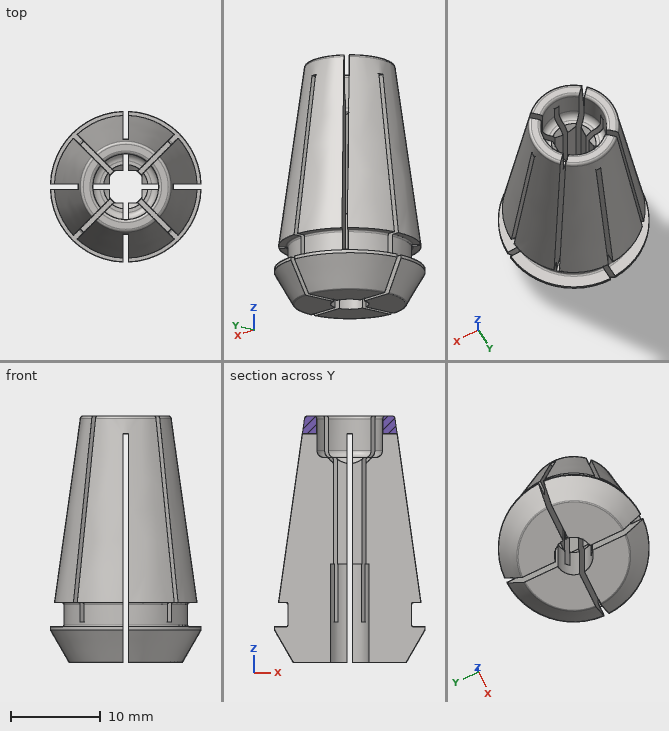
import cadquery as cq
import math

height = 27.5

flange_radius = 16.8 / 2
flange_edge_z = 3.65
flange_top_z = 4.02
nose_angle = 30
nose_radius = flange_radius - flange_edge_z * math.tan(math.radians(nose_angle))
nose_rounding = 0.16

groove_radius = 6.9
groove_top_z = 6.68
groove_rounding = 0.2

taper_base_radius = 7.95
taper_angle = 8
taper_length = height - groove_top_z
taper_top_radius = taper_base_radius - taper_length * math.tan(math.radians(taper_angle))
rim_rounding = 0.33

counterbore_radius = 3.65
counterbore_floor_z = 22.85
counterbore_rounding = 0.77
funnel_top_radius = 2.48
funnel_angle = 45
square_side = 3.6
square_bottom_z = 11.0
shank_radius = 2.15

slot_width = 0.6
lower_slot_top_z = 25.5
upper_slot_floor_z = 4.5
lower_slot_angles = (0, 90)
upper_slot_angles = (45, 135)
slot_cut_length = 3 * flange_radius

selection_margin = 0.015


def circles_at(z, largest_radius):
    """Selector for the circular edges at one level, up to a given radius."""
    reach = largest_radius + selection_margin
    return cq.selectors.BoxSelector(
        (-reach, -reach, z - selection_margin), (reach, reach, z + selection_margin), boundingbox=True
    )


def outer_body():
    profile = [
        (0, 0),
        (nose_radius, 0),
        (flange_radius, flange_edge_z),
        (flange_radius, flange_top_z),
        (groove_radius, flange_top_z),
        (groove_radius, groove_top_z),
        (taper_base_radius, groove_top_z),
        (taper_top_radius, height),
        (0, height),
    ]
    body = cq.Workplane("XZ").polyline(profile).close().revolve(360, (0, 0), (0, 1))
    body = body.edges(circles_at(0, nose_radius)).fillet(nose_rounding)
    for z in (flange_top_z, groove_top_z):
        body = body.edges(circles_at(z, groove_radius)).fillet(groove_rounding)
    return body


def counterbore():
    depth = height - counterbore_floor_z
    base = cq.Workplane("XY").workplane(offset=counterbore_floor_z)
    cutter = base.circle(counterbore_radius).extrude(depth)
    return cutter.faces("<Z").edges().fillet(counterbore_rounding)


def funnel():
    """Cone that narrows from the counterbore floor to a point on the axis."""
    tip_z = counterbore_floor_z - funnel_top_radius / math.tan(math.radians(funnel_angle))
    profile = [(0, tip_z), (funnel_top_radius, counterbore_floor_z), (0, counterbore_floor_z)]
    return cq.Workplane("XZ").polyline(profile).close().revolve(360, (0, 0), (0, 1))


def square_drive():
    length = counterbore_floor_z - square_bottom_z
    base = cq.Workplane("XY").workplane(offset=square_bottom_z)
    return base.rect(square_side, square_side).extrude(length)


def shank_bore():
    return cq.Workplane("XY").circle(shank_radius).extrude(square_bottom_z)


def slot(angle, bottom_z, top_z):
    """Straight slot across the whole diameter between two levels."""
    blade = cq.Workplane("XY").workplane(offset=bottom_z)
    blade = blade.rect(slot_cut_length, slot_width).extrude(top_z - bottom_z)
    return blade.rotate((0, 0, 0), (0, 0, 1), angle)


body = outer_body().cut(counterbore())
body = body.edges(circles_at(height, taper_top_radius)).fillet(rim_rounding)
for cutter in (funnel(), square_drive(), shank_bore()):
    body = body.cut(cutter)

for angle in lower_slot_angles:
    body = body.cut(slot(angle, 0, lower_slot_top_z))
for angle in upper_slot_angles:
    body = body.cut(slot(angle, upper_slot_floor_z, height))

result = body